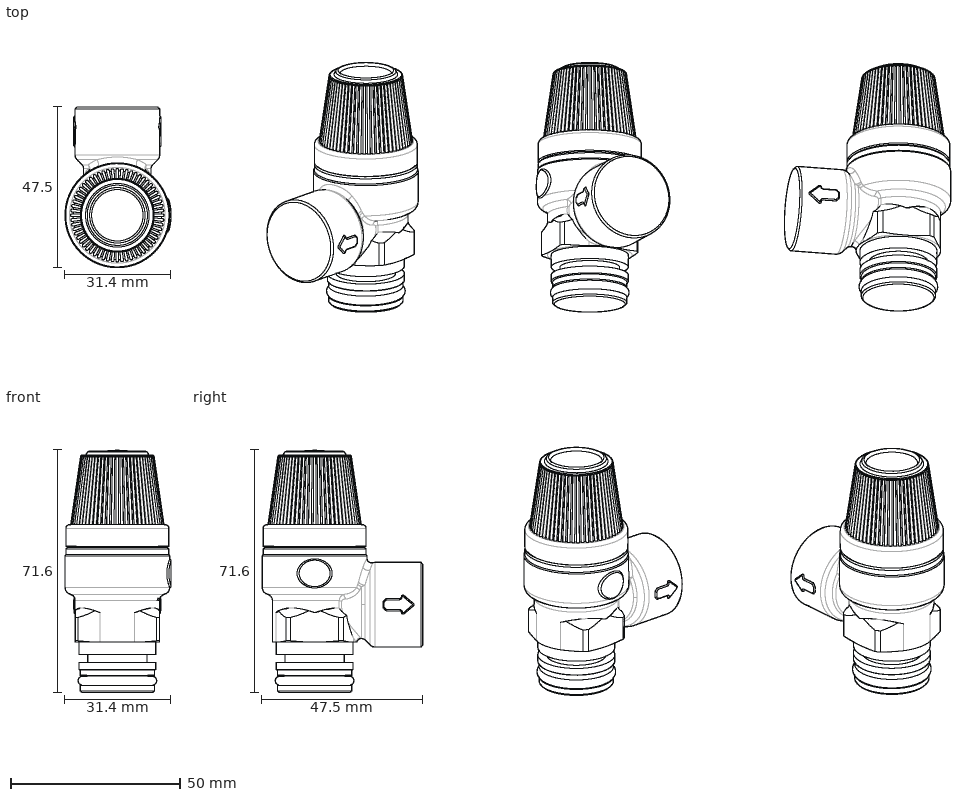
import cadquery as cq
import math


land_radius = 11.0
land_chamfer = 0.5
flange_radius = 11.4
retaining_groove_radius = 8.8
o_ring_inner_diameter = 18.0
o_ring_section = 2.65
o_ring_groove_bottom = 2.1
o_ring_groove_top = 5.1
o_ring_height = 3.5
flange_bottom = 6.6
flange_chamfer_height = 0.25
retaining_groove_bottom = 8.9
retaining_groove_top = 11.2

neck_radius = 12.5
neck_bottom = 14.9
flat_meeting_half_angle = 33.0
wrench_corner_radius = 14.38
wrench_shoulder = 23.6
wrench_top_drop = 1.4
wrench_bottom_rise = 0.4
wrench_top_rise = 1.4
wrench_top_hollow = 3.0

bowl_radius = 15.5
bowl_corner_fillet = 2.2
bowl_neck_fillet = 1.9
bowl_round_start = 31.1
bowl_top = 40.8
bowl_top_chamfer = 0.4

seat_radius = 15.25
seat_top = 42.9
seat_chamfer = 0.5
gap_neck_radius = 12.1
skirt_bottom = 43.15
skirt_top = 49.6
skirt_fillet = 1.1
grip_top = 70.1
collar_height = 0.45
collar_radius = 10.85
collar_chamfer = 0.25
rib_count = 60
rib_tip_radius_bottom = 13.8
rib_tip_radius_top = 10.9
rib_depth_ratio = 0.055
rib_width_ratio = 0.6
rib_side_ratio = 0.6

rim_foot_radius = 9.4
rim_shoulder_radius = 8.9
rim_shoulder = 71.0
rim_top = 71.4
rim_inner_radius = 8.2
button_radius = 7.6
button_crown_radius = 25.0
overall_height = 71.6

branch_height = 25.95
branch_radius = 12.55
branch_end = 32.0
branch_end_chamfer = 0.6
branch_shoulder = 17.0
branch_neck_radius = 10.0
branch_shoulder_fillet = 2.0
branch_neck_fillet = 1.5
branch_blend = 1.3
shortest_corner_extent = 0.1

relief_height = 0.4
relief_draft = 45.0
relief_sink = 0.9
arrow_tip = 29.6
arrow_barb = 25.6
arrow_tail = 20.2
arrow_half_height = 3.4
shaft_half_height = 1.8
arrow_rounding = 0.5
arrow_face_chamfer = 0.35
tail_corner = 0.9
badge_radius = 5.2
badge_height = 35.2


def valve_core():
    """Turned shape from the spigot up to the underside of the ribbed grip."""
    groove_radius = o_ring_inner_diameter / 2
    round_center_r = bowl_radius - bowl_corner_fillet
    hollow_center_r = neck_radius + bowl_neck_fillet
    fillet_sum = bowl_corner_fillet + bowl_neck_fillet
    center_offset = hollow_center_r - round_center_r
    hollow_center_z = bowl_round_start - math.sqrt(fillet_sum**2 - center_offset**2)
    meeting_angle = math.atan2(bowl_round_start - hollow_center_z, -center_offset)

    def on_hollow(angle):
        return (hollow_center_r + bowl_neck_fillet * math.cos(angle),
                hollow_center_z + bowl_neck_fillet * math.sin(angle))

    def on_round(angle):
        return (round_center_r + bowl_corner_fillet * math.cos(angle),
                bowl_round_start + bowl_corner_fillet * math.sin(angle))

    profile = (
        cq.Workplane("XZ")
        .moveTo(0, 0)
        .lineTo(land_radius - land_chamfer, 0)
        .lineTo(land_radius, land_chamfer)
        .lineTo(land_radius, o_ring_groove_bottom)
        .lineTo(groove_radius, o_ring_groove_bottom)
        .lineTo(groove_radius, o_ring_groove_top)
        .lineTo(land_radius, o_ring_groove_top)
        .lineTo(land_radius, flange_bottom)
        .lineTo(flange_radius, flange_bottom + flange_chamfer_height)
        .lineTo(flange_radius, retaining_groove_bottom)
        .lineTo(retaining_groove_radius, retaining_groove_bottom)
        .lineTo(retaining_groove_radius, retaining_groove_top)
        .lineTo(flange_radius, retaining_groove_top)
        .lineTo(flange_radius, neck_bottom)
        .lineTo(neck_radius, neck_bottom)
        .lineTo(neck_radius, hollow_center_z)
        .threePointArc(on_hollow((math.pi + meeting_angle) / 2), on_hollow(meeting_angle))
        .threePointArc(on_round(meeting_angle / 2 - math.pi / 2), (bowl_radius, bowl_round_start))
        .lineTo(bowl_radius, bowl_top - bowl_top_chamfer)
        .lineTo(seat_radius, bowl_top)
        .lineTo(0, bowl_top)
        .close()
    )
    return profile.revolve(360, (0, 0, 0), (0, 1, 0))


def outlet_branch():
    """Outlet socket turned about a horizontal axis, with a coned shoulder to a narrower neck."""
    cone_start = branch_shoulder - (branch_radius - branch_neck_radius)
    profile = (
        cq.Workplane("XY", origin=(0, 0, branch_height))
        .moveTo(0, 0)
        .lineTo(branch_neck_radius, 0)
        .lineTo(branch_neck_radius, cone_start)
        .lineTo(branch_radius, branch_shoulder)
        .lineTo(branch_radius, branch_end - branch_end_chamfer)
        .lineTo(branch_radius - branch_end_chamfer, branch_end)
        .lineTo(0, branch_end)
        .close()
    )
    branch = profile.revolve(360, (0, 0, 0), (0, 1, 0))

    def ring_edge(distance):
        return cq.NearestToPointSelector((0, distance, branch_height))

    return (
        branch
        .edges(ring_edge(branch_shoulder))
        .fillet(branch_shoulder_fillet)
        .edges(ring_edge(cone_start))
        .fillet(branch_neck_fillet)
    )


def blended_casting():
    """Valve core and outlet branch joined by a rounded inner corner."""
    casting = valve_core().union(outlet_branch())

    def is_inner_corner(edge):
        box = edge.BoundingBox()
        return edge.geomType() == "BSPLINE" and min(box.ylen, box.zlen) > shortest_corner_extent

    corner_edges = [edge for edge in casting.edges().vals() if is_inner_corner(edge)]
    return casting.newObject(corner_edges).fillet(branch_blend)


def wrench_corners():
    """Four corner lugs, each between two flats tangent to the neck, with a domed and turned-off top."""
    half_angle = math.radians(flat_meeting_half_angle)
    vertex_distance = neck_radius / math.cos(half_angle)
    tangent_distance = neck_radius * math.cos(half_angle)
    tangent_offset = neck_radius * math.sin(half_angle)
    top = wrench_shoulder + wrench_top_rise
    flats = (
        cq.Workplane("XY", origin=(0, 0, neck_bottom))
        .polyline([
            (0, 0),
            (tangent_distance, -tangent_offset),
            (vertex_distance, 0),
            (tangent_distance, tangent_offset),
        ])
        .close()
        .extrude(top - neck_bottom)
    )
    turned = (
        cq.Workplane("XZ")
        .moveTo(0, neck_bottom)
        .lineTo(neck_radius, neck_bottom)
        .lineTo(wrench_corner_radius, neck_bottom + wrench_bottom_rise)
        .lineTo(wrench_corner_radius, wrench_shoulder - wrench_top_drop)
        .radiusArc((neck_radius, top), wrench_top_hollow)
        .lineTo(0, top)
        .close()
        .revolve(360, (0, 0, 0), (0, 1, 0))
    )
    arch = (
        cq.Workplane("YZ")
        .moveTo(-tangent_offset, neck_bottom)
        .lineTo(-tangent_offset, wrench_shoulder)
        .threePointArc((0, top), (tangent_offset, wrench_shoulder))
        .lineTo(tangent_offset, neck_bottom)
        .close()
        .extrude(vertex_distance)
    )
    lug = flats.intersect(turned).intersect(arch)
    corner_angles = [
        flat_meeting_half_angle,
        180 - flat_meeting_half_angle,
        180 + flat_meeting_half_angle,
        -flat_meeting_half_angle,
    ]
    return [lug.rotate((0, 0, 0), (0, 0, 1), angle) for angle in corner_angles]


def flow_arrow():
    """Raised arrow on the +X flank of the branch, with a chamfered face and pointing to the outlet."""
    outline = [
        (arrow_tip, 0),
        (arrow_barb, arrow_half_height),
        (arrow_barb, shaft_half_height),
        (arrow_tail + tail_corner, shaft_half_height),
        (arrow_tail, shaft_half_height - tail_corner),
        (arrow_tail, tail_corner - shaft_half_height),
        (arrow_tail + tail_corner, -shaft_half_height),
        (arrow_barb, -shaft_half_height),
        (arrow_barb, -arrow_half_height),
    ]
    base_x = branch_radius - relief_sink
    arrow = (
        cq.Workplane("YZ", origin=(base_x, 0, branch_height))
        .polyline(outline)
        .close()
        .extrude(relief_sink + relief_height)
        .edges("|X")
        .fillet(arrow_rounding)
    )
    surface = (
        cq.Workplane("XZ", origin=(0, 0, branch_height))
        .circle(branch_radius + relief_height)
        .extrude(-branch_end)
    )
    face_middle = (branch_radius + relief_height, (arrow_tip + arrow_tail) / 2, branch_height)
    raised_face = cq.NearestToPointSelector(face_middle)
    return arrow.intersect(surface).faces(raised_face).chamfer(arrow_face_chamfer)


def badge():
    """Round raised badge with sloping sides on the +X side of the spring bowl."""
    base_x = bowl_radius - relief_sink
    disc = (
        cq.Workplane("YZ", origin=(base_x, 0, badge_height))
        .circle(badge_radius)
        .extrude(relief_sink + relief_height, taper=relief_draft)
    )
    surface = cq.Workplane("XY").circle(bowl_radius + relief_height).extrude(bowl_top)
    return disc.intersect(surface)


def seat_and_skirt():
    """Seat ring, narrow gap and smooth skirt of the cap."""
    profile = (
        cq.Workplane("XZ")
        .moveTo(0, bowl_top)
        .lineTo(seat_radius, bowl_top)
        .lineTo(seat_radius, seat_top - seat_chamfer)
        .lineTo(seat_radius - seat_chamfer, seat_top)
        .lineTo(gap_neck_radius, seat_top)
        .lineTo(gap_neck_radius, skirt_bottom)
        .lineTo(seat_radius, skirt_bottom)
        .lineTo(seat_radius, skirt_top - skirt_fillet)
        .radiusArc((seat_radius - skirt_fillet, skirt_top), -skirt_fillet)
        .lineTo(0, skirt_top)
        .close()
    )
    return profile.revolve(360, (0, 0, 0), (0, 1, 0))


def rib_outline(workplane, tip_radius):
    """Closed outline of round-nosed ribs around a circle, all sized from the tip radius."""
    pitch = 2 * math.pi / rib_count
    half_width = pitch * rib_width_ratio / 2
    root_radius = tip_radius * (1 - rib_depth_ratio)
    side_radius = tip_radius * (1 - rib_depth_ratio * rib_side_ratio)

    def at(radius, angle):
        return (radius * math.cos(angle), radius * math.sin(angle))

    outline = workplane.moveTo(*at(root_radius, -half_width))
    for index in range(rib_count):
        middle = index * pitch
        outline = (
            outline
            .lineTo(*at(side_radius, middle - half_width))
            .threePointArc(at(tip_radius, middle), at(side_radius, middle + half_width))
            .lineTo(*at(root_radius, middle + half_width))
        )
        if index < rib_count - 1:
            outline = outline.lineTo(*at(root_radius, middle + pitch - half_width))
    return outline.close()


def ribbed_grip():
    """Tapered grip whose ribs narrow toward the top."""
    base = rib_outline(cq.Workplane("XY", origin=(0, 0, skirt_top)), rib_tip_radius_bottom)
    outlines = rib_outline(base.workplane(offset=grip_top - collar_height - skirt_top), rib_tip_radius_top)
    return outlines.loft(ruled=True)


def cap_crown():
    """Collar closing the ribs, with a beveled rim around a shallow domed button."""
    crown_drop = button_crown_radius - math.sqrt(button_crown_radius**2 - button_radius**2)
    button_edge = overall_height - crown_drop
    half_angle = math.asin(button_radius / button_crown_radius) / 2
    crown_middle = (
        button_crown_radius * math.sin(half_angle),
        overall_height - button_crown_radius * (1 - math.cos(half_angle)),
    )
    profile = (
        cq.Workplane("XZ")
        .moveTo(0, grip_top - collar_height)
        .lineTo(collar_radius, grip_top - collar_height)
        .lineTo(collar_radius, grip_top - collar_chamfer)
        .lineTo(collar_radius - collar_chamfer, grip_top)
        .lineTo(rim_foot_radius, grip_top)
        .lineTo(rim_shoulder_radius, rim_shoulder)
        .lineTo(rim_inner_radius, rim_top)
        .lineTo(button_radius, button_edge)
        .threePointArc(crown_middle, (0, overall_height))
        .close()
    )
    return profile.revolve(360, (0, 0, 0), (0, 1, 0))


def valve_body():
    """Casting, reliefs and cap as one solid."""
    arrow = flow_arrow()
    solid = blended_casting()
    for lug in wrench_corners():
        solid = solid.union(lug)
    return (
        solid
        .union(arrow)
        .union(arrow.mirror("YZ"))
        .union(badge())
        .union(seat_and_skirt())
        .union(ribbed_grip())
        .union(cap_crown())
    )


def sealing_ring():
    """O-ring resting on the floor of its groove."""
    section_radius = o_ring_section / 2
    center_radius = (o_ring_inner_diameter + o_ring_section) / 2
    return (
        cq.Workplane("XZ")
        .center(center_radius, o_ring_height)
        .circle(section_radius)
        .revolve(360, (-center_radius, 0, 0), (-center_radius, 1, 0))
    )


body = valve_body()
o_ring = sealing_ring()
result = cq.Compound.makeCompound([body.val(), o_ring.val()])